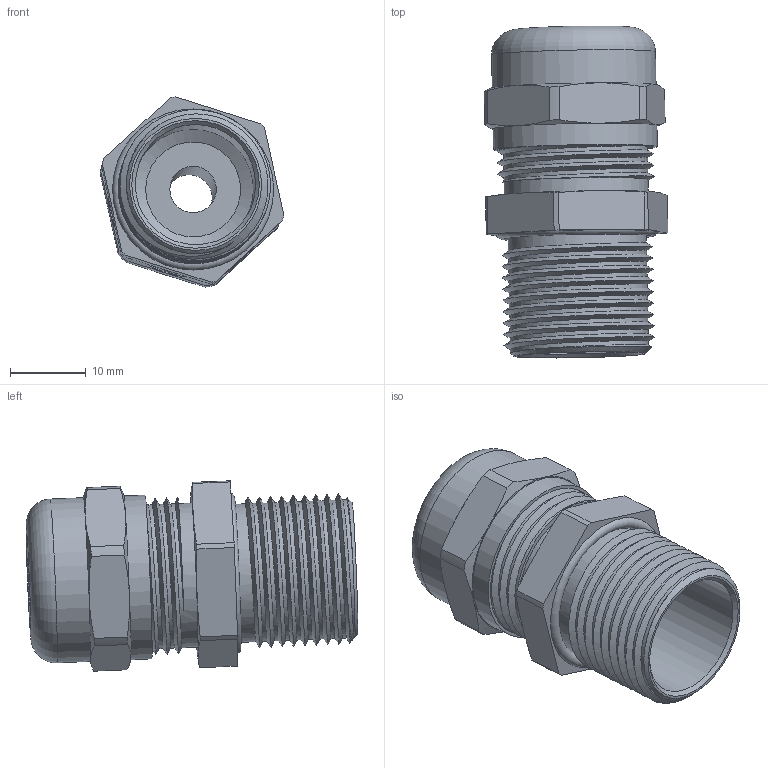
import cadquery as cq
import math

TILT_X = -0.020
TILT_Z = -0.0415
LENGTH = 43.24

PITCH = 1.5
RIDGE_HEIGHT = 0.83
RIDGE_ROOT = 0.15
RIDGE_SLOPE = math.tan(math.radians(30))

ENTRY_CORE_R = 18.31 / 2
ENTRY_RIDGE_START = -0.85
ENTRY_RIDGE_END = 14.2
ENTRY_END_R = 8.75
CAP_CORE_R = 19.08 / 2
CAP_RIDGE_START = 21.94
CAP_RIDGE_CUT = 23.05
CAP_RIDGE_END = 28.6
BODY_TOP = 36.0
MOUTH_R = 16.9 / 2
BORE_R = 15.93 / 2
BORE_DEPTH = 15.2
BORE_CONE_LENGTH = 0.9

HEX_FLATS = 22.0
HEX_TURN = -12.5
BODY_HEX_BOTTOM = 16.08
BODY_HEX_TOP = 21.24
BODY_HEX_CORNER_R = 12.51
BODY_HEX_FACE_R = 11.1
BODY_HEX_CHAMFER = 0.2
NUT_HEX_BOTTOM = 30.2
NUT_HEX_TOP = 35.54
NUT_HEX_CORNER_R = 12.33
NUT_HEX_FACE_R = 11.0
NUT_HEX_CHAMFER = 0.48

RING_TUBE_R = 0.78
RING_CENTRE_R = ENTRY_CORE_R + RING_TUBE_R
RING_CENTRE_Z = 16.33

NUT_R = 21.7 / 2
NUT_BOTTOM = 27.38
NUT_NOSE_ROUND = 3.3
RIDGE_CLEARANCE = 0.05
NUT_RECESS_R = CAP_CORE_R + RIDGE_HEIGHT + RIDGE_CLEARANCE
NUT_RECESS_TOP = CAP_RIDGE_END + PITCH / 2

SEAL_R = 12.57 / 2
SEAL_HOLE_R = 6.15 / 2
SEAL_BOTTOM = BORE_DEPTH + BORE_CONE_LENGTH


def revolve(profile):
    """Turn a closed profile, drawn as (radius, height), around the local Z axis."""
    return profile.close().revolve(360, (0, 0, 0), (0, 1, 0))


def tube(inner_r, outer_r, bottom, top):
    """Straight tube around the local Z axis."""
    height = top - bottom
    return cq.Workplane("XY").workplane(offset=bottom).circle(outer_r).circle(inner_r).extrude(height)


def ridge(core_r, start, end):
    """Right-hand helical ridge that starts on the local X axis at height `start`."""
    half_base = (RIDGE_HEIGHT + RIDGE_ROOT) * RIDGE_SLOPE
    root_r = core_r - RIDGE_ROOT
    helix = cq.Wire.makeHelix(PITCH, end - start, core_r)
    profile = (
        cq.Workplane("XZ")
        .moveTo(root_r, -half_base)
        .lineTo(core_r + RIDGE_HEIGHT, 0)
        .lineTo(root_r, half_base)
        .close()
    )
    return profile.sweep(cq.Workplane(helix), isFrenet=True).translate((0, 0, start))


def hexagon(bottom, top, corner_r, face_r, chamfer, chamfer_bottom):
    """Hexagon prism with turned corners and turned end chamfers."""
    prism = (
        cq.Workplane("XY")
        .workplane(offset=bottom)
        .polygon(6, HEX_FLATS, circumscribed=True)
        .extrude(top - bottom)
        .rotate((0, 0, 0), (0, 0, 1), HEX_TURN)
    )
    envelope = cq.Workplane("XZ").moveTo(0, bottom)
    if chamfer_bottom:
        envelope = envelope.lineTo(face_r, bottom).lineTo(corner_r, bottom + chamfer)
    else:
        envelope = envelope.lineTo(corner_r, bottom)
    envelope = envelope.lineTo(corner_r, top - chamfer).lineTo(face_r, top).lineTo(0, top)
    return prism.intersect(revolve(envelope))


def build_ring():
    section = cq.Workplane("XZ").center(RING_CENTRE_R, RING_CENTRE_Z).circle(RING_TUBE_R)
    return section.revolve(360, (-RING_CENTRE_R, 0, 0), (-RING_CENTRE_R, 1, 0))


def ring_section_point(angle):
    """Point (radius, height) on the O-ring's round section; zero degrees points outward."""
    turn = math.radians(angle)
    return (
        RING_CENTRE_R + RING_TUBE_R * math.cos(turn),
        RING_CENTRE_Z + RING_TUBE_R * math.sin(turn),
    )


def ring_groove():
    """Round-bottomed groove for the O-ring, open at the hexagon's lower face."""
    face_angle = -math.degrees(math.asin((RING_CENTRE_Z - BODY_HEX_BOTTOM) / RING_TUBE_R))
    inner_side = 180
    return revolve(
        cq.Workplane("XZ")
        .moveTo(ENTRY_CORE_R, BODY_HEX_BOTTOM)
        .lineTo(*ring_section_point(inner_side))
        .threePointArc(
            ring_section_point((inner_side + face_angle) / 2),
            ring_section_point(face_angle),
        )
    )


def build_body():
    hex_mid = (BODY_HEX_BOTTOM + BODY_HEX_TOP) / 2
    chamfer_reach = ENTRY_CORE_R + 2 * RIDGE_HEIGHT - ENTRY_END_R
    entry_limit = revolve(
        cq.Workplane("XZ")
        .lineTo(ENTRY_END_R, 0)
        .lineTo(ENTRY_END_R + chamfer_reach, chamfer_reach)
        .lineTo(ENTRY_END_R + chamfer_reach, hex_mid)
        .lineTo(0, hex_mid)
    )
    entry_core = cq.Workplane("XY").circle(ENTRY_CORE_R).extrude(hex_mid)
    entry_ridge = ridge(ENTRY_CORE_R, ENTRY_RIDGE_START, ENTRY_RIDGE_END)
    entry = entry_core.union(entry_ridge).intersect(entry_limit)

    cap_core = tube(SEAL_R, CAP_CORE_R, hex_mid, BODY_TOP)
    cap_ridge = ridge(CAP_CORE_R, CAP_RIDGE_START, CAP_RIDGE_END)
    plain_neck = tube(SEAL_R, BODY_HEX_CORNER_R, hex_mid, CAP_RIDGE_CUT)
    cap_ridge = cap_ridge.cut(plain_neck)

    hexagon_flange = hexagon(
        BODY_HEX_BOTTOM,
        BODY_HEX_TOP,
        BODY_HEX_CORNER_R,
        BODY_HEX_FACE_R,
        BODY_HEX_CHAMFER,
        chamfer_bottom=False,
    ).cut(ring_groove())

    mouth_depth = MOUTH_R - BORE_R
    bore = revolve(
        cq.Workplane("XZ")
        .lineTo(MOUTH_R, 0)
        .lineTo(BORE_R, mouth_depth)
        .lineTo(BORE_R, BORE_DEPTH)
        .lineTo(SEAL_R, SEAL_BOTTOM)
        .lineTo(SEAL_R, BODY_TOP)
        .lineTo(0, BODY_TOP)
    )
    return hexagon_flange.union(entry).union(cap_core.union(cap_ridge)).cut(bore)


def build_nut():
    shell = revolve(
        cq.Workplane("XZ")
        .moveTo(0, NUT_BOTTOM)
        .lineTo(NUT_R, NUT_BOTTOM)
        .lineTo(NUT_R, LENGTH - NUT_NOSE_ROUND)
        .radiusArc((NUT_R - NUT_NOSE_ROUND, LENGTH), -NUT_NOSE_ROUND)
        .lineTo(0, LENGTH)
    )
    hexagon_band = hexagon(
        NUT_HEX_BOTTOM,
        NUT_HEX_TOP,
        NUT_HEX_CORNER_R,
        NUT_HEX_FACE_R,
        NUT_HEX_CHAMFER,
        chamfer_bottom=True,
    )
    inside = revolve(
        cq.Workplane("XZ")
        .moveTo(0, NUT_BOTTOM)
        .lineTo(NUT_RECESS_R, NUT_BOTTOM)
        .lineTo(NUT_RECESS_R, NUT_RECESS_TOP)
        .lineTo(CAP_CORE_R, NUT_RECESS_TOP)
        .lineTo(CAP_CORE_R, BODY_TOP)
        .lineTo(SEAL_R, BODY_TOP)
        .lineTo(SEAL_R, LENGTH)
        .lineTo(0, LENGTH)
    )
    return shell.union(hexagon_band).cut(inside)


def build_seal():
    return tube(SEAL_HOLE_R, SEAL_R, SEAL_BOTTOM, LENGTH)


def place(body):
    """Move a body from the local frame onto the tilted axis, centred on its length."""
    axis = cq.Vector(TILT_X, 1, TILT_Z).normalized()
    sideways = cq.Vector(1, -TILT_X, 0)
    frame = cq.Plane(origin=axis.multiply(-LENGTH / 2), xDir=sideways, normal=axis)
    return body.val().moved(cq.Location(frame))


bodies = [build_body(), build_nut(), build_ring(), build_seal()]
result = cq.Compound.makeCompound([place(body) for body in bodies])